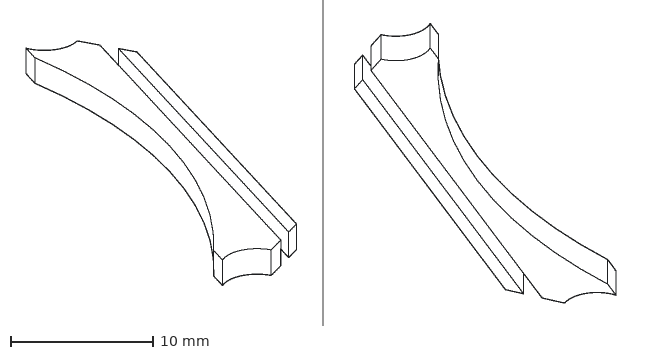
import cadquery as cq
import math

thickness = 2.0

slope_sum = 22.0

bar_depth = 5.0
foot_half_width = 18.47
arch_half_span = 16.8
arch_rise = 3.45

notch_center_x = 20.0
notch_center_y = slope_sum - notch_center_x
notch_radius = math.hypot(notch_center_x - foot_half_width, notch_center_y)

strip_gap = 1.0
strip_depth = 1.0


def half_width_at(y):
    """Half the width between the two sloping lines at height y."""
    return slope_sum - y


def make_arched_bar():
    """Bar with an arched lower edge, sloping shoulders and a round notch in each end."""
    shoulder_half_width = half_width_at(bar_depth)
    notch_diagonal = notch_radius / math.sqrt(2)
    tip_x = notch_center_x - notch_diagonal
    tip_y = notch_center_y + notch_diagonal
    notch_floor_x = notch_center_x - notch_radius
    return (
        cq.Workplane("XY")
        .moveTo(-arch_half_span, 0)
        .threePointArc((0, arch_rise), (arch_half_span, 0))
        .lineTo(foot_half_width, 0)
        .threePointArc((notch_floor_x, notch_center_y), (tip_x, tip_y))
        .lineTo(shoulder_half_width, bar_depth)
        .lineTo(-shoulder_half_width, bar_depth)
        .lineTo(-tip_x, tip_y)
        .threePointArc((-notch_floor_x, notch_center_y), (-foot_half_width, 0))
        .close()
        .extrude(thickness)
    )


def make_strip():
    """Thin trapezoidal strip beyond the straight edge of the bar."""
    near_y = bar_depth + strip_gap
    far_y = near_y + strip_depth
    near_half_width = half_width_at(near_y)
    far_half_width = half_width_at(far_y)
    outline = [
        (-near_half_width, near_y),
        (near_half_width, near_y),
        (far_half_width, far_y),
        (-far_half_width, far_y),
    ]
    return cq.Workplane("XY").polyline(outline).close().extrude(thickness)


arched_bar = make_arched_bar()
strip = make_strip()

result = cq.Compound.makeCompound([arched_bar.val(), strip.val()])